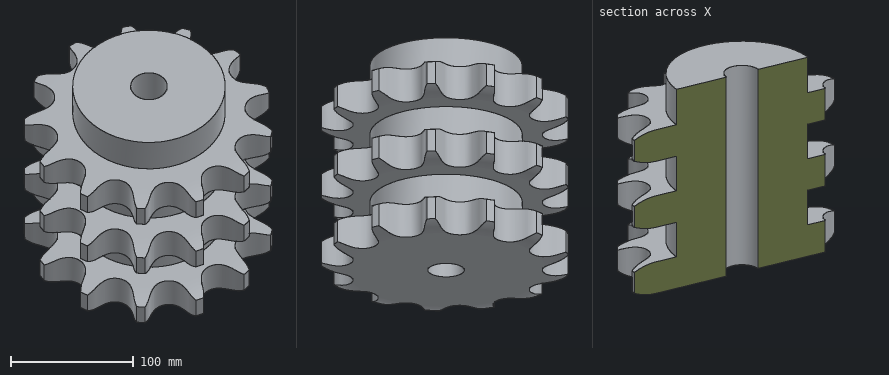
import cadquery as cq
import math


TOOTH_COUNT = 13
PITCH_RADIUS = 185.7 / 2
CHAIN_PITCH = 2 * PITCH_RADIUS * math.sin(math.pi / TOOTH_COUNT)
ROLLER_DIAMETER = 27.9
STRAND_SPACING = 59.6

SEAT_RADIUS = 14.0
SEAT_ANGLE = math.radians(55 - 60 / TOOTH_COUNT)
WORKING_ANGLE = math.radians(18 - 56 / TOOTH_COUNT)
TOPPING_ANGLE = math.radians(17 - 64 / TOOTH_COUNT)
WORKING_OFFSET = 0.8 * ROLLER_DIAMETER
TOPPING_OFFSET = 1.4 * ROLLER_DIAMETER

STRAND_COUNT = 3
TIP_RADIUS = 102.1
DISC_WIDTH = 28.9
SIDE_ROUNDING_RADIUS = CHAIN_PITCH
SIDE_ROUNDING_LENGTH = 20.3

HUB_DIAMETER = 125.0
BORE_DIAMETER = 30.0
TOTAL_HEIGHT = 180.0

CUT_REACH = TIP_RADIUS + 1.0


def step(start, distance, angle):
    """Move from start; angle 0 points to the axis (-X) and turns towards +Y."""
    return (start[0] - distance * math.cos(angle), start[1] + distance * math.sin(angle))


def gap_half_outline():
    """Points of half a gap centred on +X, on its +Y side, from the bottom of the gap outwards."""
    flank_angle = SEAT_ANGLE + WORKING_ANGLE

    seat_centre = (PITCH_RADIUS, 0)
    gap_bottom = step(seat_centre, SEAT_RADIUS, 0)
    seat_end = step(seat_centre, SEAT_RADIUS, SEAT_ANGLE)

    working_radius = SEAT_RADIUS + WORKING_OFFSET
    working_centre = step(seat_centre, -WORKING_OFFSET, SEAT_ANGLE)
    working_middle = step(working_centre, working_radius, SEAT_ANGLE + WORKING_ANGLE / 2)
    working_end = step(working_centre, working_radius, flank_angle)

    straight_length = TOPPING_OFFSET * math.sin(TOPPING_ANGLE) - WORKING_OFFSET * math.sin(WORKING_ANGLE)
    straight_end = step(working_end, straight_length, flank_angle + math.pi / 2)

    topping_radius = (
        TOPPING_OFFSET * math.cos(TOPPING_ANGLE)
        + WORKING_OFFSET * math.cos(WORKING_ANGLE)
        - working_radius
    )
    topping_centre = step(straight_end, topping_radius, flank_angle)

    def topping_point(x):
        drop = math.sqrt(topping_radius**2 - (x - topping_centre[0]) ** 2)
        return (x, topping_centre[1] - drop)

    topping_middle = topping_point((straight_end[0] + CUT_REACH) / 2)
    topping_end = topping_point(CUT_REACH)
    return gap_bottom, seat_end, working_middle, working_end, straight_end, topping_middle, topping_end


def gap_cutter():
    """Prism that removes one tooth gap on the +X side of a disc."""
    (gap_bottom, seat_end, working_middle, working_end,
     straight_end, topping_middle, topping_end) = gap_half_outline()
    seat_middle = step((PITCH_RADIUS, 0), SEAT_RADIUS, SEAT_ANGLE / 2)
    half = (
        cq.Workplane("XY")
        .moveTo(*gap_bottom)
        .threePointArc(seat_middle, seat_end)
        .threePointArc(working_middle, working_end)
        .lineTo(*straight_end)
        .threePointArc(topping_middle, topping_end)
        .lineTo(CUT_REACH, 0)
        .close()
        .extrude(DISC_WIDTH)
    )
    return half.union(half.mirror("XZ"))


def disc_blank():
    """Turned disc whose rim is rounded off on both sides."""
    rounding_start = TIP_RADIUS - SIDE_ROUNDING_LENGTH

    def rounding_depth(radius):
        distance = radius - rounding_start
        return SIDE_ROUNDING_RADIUS - math.sqrt(SIDE_ROUNDING_RADIUS**2 - distance**2)

    middle_radius = rounding_start + SIDE_ROUNDING_LENGTH / 2
    middle_depth = rounding_depth(middle_radius)
    tip_depth = rounding_depth(TIP_RADIUS)
    return (
        cq.Workplane("XZ")
        .lineTo(rounding_start, 0)
        .threePointArc((middle_radius, middle_depth), (TIP_RADIUS, tip_depth))
        .lineTo(TIP_RADIUS, DISC_WIDTH - tip_depth)
        .threePointArc((middle_radius, DISC_WIDTH - middle_depth), (rounding_start, DISC_WIDTH))
        .lineTo(0, DISC_WIDTH)
        .close()
        .revolve(360, (0, 0, 0), (0, 1, 0))
    )


def toothed_disc():
    """One sprocket disc standing on Z = 0."""
    disc = disc_blank()
    cutter = gap_cutter()
    tooth_step = 360 / TOOTH_COUNT
    first_gap_angle = -90 + tooth_step / 2
    for index in range(TOOTH_COUNT):
        angle = first_gap_angle + index * tooth_step
        disc = disc.cut(cutter.rotate((0, 0, 0), (0, 0, 1), angle))
    return disc


body = cq.Workplane("XY").circle(HUB_DIAMETER / 2).extrude(TOTAL_HEIGHT)
disc = toothed_disc()
for strand in range(STRAND_COUNT):
    body = body.union(disc.translate((0, 0, strand * STRAND_SPACING)))

bore = cq.Workplane("XY").circle(BORE_DIAMETER / 2).extrude(TOTAL_HEIGHT)
result = body.cut(bore)